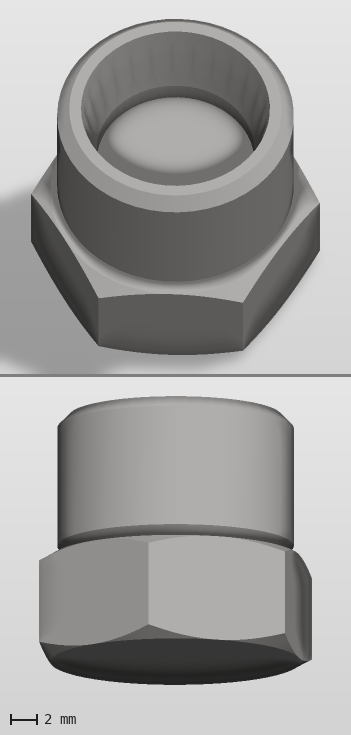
import cadquery as cq
import math

corner_diameter = 21.95
hex_height = 8.0
total_height = 19.0
collar_diameter = 18.0
collar_chamfer = 0.92
hex_chamfer_angle = 30.0

mouth_diameter = 14.35
bore_diameter = 12.0
taper_depth = 5.48
bore_depth = 7.0

corner_radius = corner_diameter / 2
flat_radius = corner_radius * math.cos(math.radians(30))
corner_drop = (corner_radius - flat_radius) * math.tan(math.radians(hex_chamfer_angle))


def revolve_profile(points):
    """Revolve a closed (radius, height) outline about the Z axis."""
    return cq.Workplane("XZ").polyline(points).close().revolve(360, (0, 0), (0, 1))


def make_hex():
    """Hexagon whose corners are cut by a cone at both ends."""
    prism = (
        cq.Workplane("XY")
        .polygon(6, corner_diameter)
        .extrude(hex_height)
        .rotate((0, 0, 0), (0, 0, 1), 90)
    )
    envelope = revolve_profile([
        (0, 0),
        (flat_radius, 0),
        (corner_radius, corner_drop),
        (corner_radius, hex_height - corner_drop),
        (flat_radius, hex_height),
        (0, hex_height),
    ])
    return prism.intersect(envelope)


def make_collar():
    """Round collar with a chamfer at each end."""
    return (
        cq.Workplane("XY")
        .workplane(offset=hex_height)
        .circle(collar_diameter / 2)
        .extrude(total_height - hex_height)
        .faces("<Z or >Z")
        .chamfer(collar_chamfer)
    )


def make_bore():
    """Blind bore: a tapered mouth above a short straight section."""
    return revolve_profile([
        (0, total_height),
        (mouth_diameter / 2, total_height),
        (bore_diameter / 2, total_height - taper_depth),
        (bore_diameter / 2, total_height - bore_depth),
        (0, total_height - bore_depth),
    ])


result = make_hex().union(make_collar()).cut(make_bore())